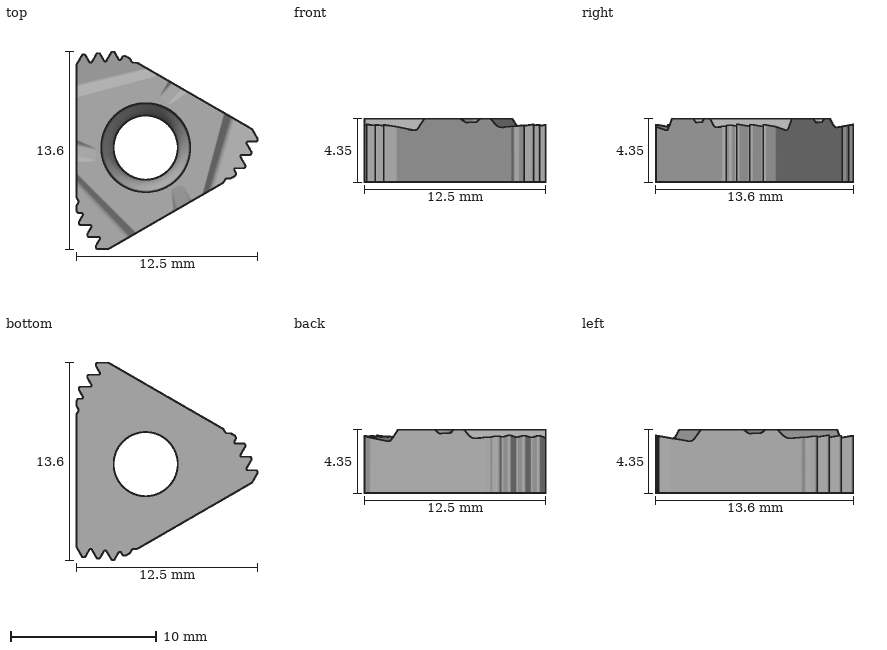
import cadquery as cq
import math


CORNERS = 3
CORNER_ANGLE = 360 / CORNERS
HEIGHT = 4.35
SIDE_DISTANCE = 4.76

FLANK_ANGLE = 60
TOOTH_COUNT = 3
TOOTH_PITCH = 1.0
TOOTH_STEP = 0.1
FIRST_APEX_X = -4.26
FIRST_APEX_Y = 6.57
CREST_CUT = 0.16
CREST_RADIUS = 0.12
ROOT_CUT = 0.088
ROOT_RADIUS = 0.07
START_RADIUS = 0.27
LAST_CREST_CUT = 0.08
LAST_CREST_RADIUS = 0.16
RELIEF_START_X = -1.09
RELIEF_FLOOR_Y = 5.84
RELIEF_RADIUS = 0.15

GROOVE_TURN = 15
GROOVE_DISTANCE = 4.61
GROOVE_WALL_ANGLE = 55
GROOVE_FLOOR_ANGLE = 10
GROOVE_TIP_DEPTH = 0.4
GROOVE_ROOT_RADIUS = 0.4
GROOVE_EDGE_RADIUS = 0.12

NOTCH_RUNOUT_X = -3.42
NOTCH_RUNOUT_Y = -0.53
NOTCH_TURN = 13
NOTCH_FLOOR_ANGLE = 10.4
NOTCH_FLOOR_WIDTH = 0.84
NOTCH_WALL_ANGLE = 40
NOTCH_ROOT_RADIUS = 0.3
NOTCH_EDGE_RADIUS = 0.15
NOTCH_EDGE_X = -4.2
NOTCH_EDGE_Y = 0.3
NOTCH_CUT_HEIGHT = 0.68
NOTCH_CUT_LENGTH = 1.9

MOUTH_RADIUS = 3.07
CONE_END_RADIUS = 2.97
CONE_DEPTH = 0.99
THROAT_RADIUS = 2.2
THROAT_DEPTH = 3.58
SEAT_ARC_RADIUS = 4.32
SEAT_TOP_DEPTH = 1.23

REACH = 13.57


def tangent(degrees):
    return math.tan(math.radians(degrees))


def turned(x, y, degrees):
    """Turn a point about the origin."""
    c = math.cos(math.radians(degrees))
    s = math.sin(math.radians(degrees))
    return x * c - y * s, x * s + y * c


def rounded_outline(plane, corners):
    """Closed outline through (x, y, radius) corners; radius 0 leaves a corner sharp."""
    points = []
    for i, (x, y, radius) in enumerate(corners):
        here = cq.Vector(x, y)
        to_last = (cq.Vector(*corners[i - 1][:2]) - here).normalized()
        to_next = (cq.Vector(*corners[(i + 1) % len(corners)][:2]) - here).normalized()
        half_angle = to_last.getAngle(to_next) / 2
        setback = radius / math.tan(half_angle)
        bisector = (to_last + to_next).normalized()
        middle = here + bisector * (radius / math.sin(half_angle) - radius)
        points.append((here + to_last * setback, middle, here + to_next * setback, radius))

    outline = cq.Workplane(plane).moveTo(*points[0][2].toTuple()[:2])
    for start, middle, end, radius in points[1:] + points[:1]:
        outline = outline.lineTo(*start.toTuple()[:2])
        if radius > 0:
            outline = outline.threePointArc(middle.toTuple()[:2], end.toTuple()[:2])
    return outline.close()


def side_y(x):
    """Y of the upper right flat side."""
    slope = tangent(CORNER_ANGLE - 90)
    return SIDE_DISTANCE * math.hypot(1, slope) - slope * x


def flat_corners(x, apex_y, flat_y, radius):
    """Both ends of the flat that cuts off the apex or root of two flanks."""
    half_width = abs(apex_y - flat_y) / tangent(FLANK_ANGLE)
    return [(x - half_width, flat_y, radius), (x + half_width, flat_y, radius)]


def tooth_corners():
    """Sharp corners of the +Y corner, from the -X side to the upper right side."""
    slope = tangent(FLANK_ANGLE)
    start_y = FIRST_APEX_Y - slope * (FIRST_APEX_X + SIDE_DISTANCE)
    corners = [(-SIDE_DISTANCE, start_y, START_RADIUS)]

    root_run = (TOOTH_PITCH - TOOTH_STEP / slope) / 2
    for i in range(TOOTH_COUNT):
        apex_x = FIRST_APEX_X + i * TOOTH_PITCH
        apex_y = FIRST_APEX_Y + i * TOOTH_STEP
        corners += flat_corners(apex_x, apex_y, apex_y - CREST_CUT, CREST_RADIUS)
        root_x = apex_x + root_run
        root_y = apex_y - slope * root_run
        corners += flat_corners(root_x, root_y, root_y + ROOT_CUT, ROOT_RADIUS)

    side_slope = tangent(CORNER_ANGLE - 90)
    crest_x = root_x + (side_y(root_x) - root_y) / (slope + side_slope)
    crest_y = side_y(crest_x) - LAST_CREST_CUT
    corners.append((crest_x - LAST_CREST_CUT / slope, crest_y, LAST_CREST_RADIUS))
    corners.append((crest_x + LAST_CREST_CUT / side_slope, crest_y, LAST_CREST_RADIUS))
    relief_y = side_y(RELIEF_START_X)
    corners.append((RELIEF_START_X, relief_y, RELIEF_RADIUS))
    relief_end_x = RELIEF_START_X + (relief_y - RELIEF_FLOOR_Y) / slope
    corners.append((relief_end_x, RELIEF_FLOOR_Y, RELIEF_RADIUS))
    exit_x = RELIEF_START_X + (relief_y - RELIEF_FLOOR_Y) / side_slope
    corners.append((exit_x, RELIEF_FLOOR_Y, RELIEF_RADIUS))
    return corners


def make_body():
    corners = []
    for i in range(CORNERS):
        for x, y, radius in tooth_corners():
            corners.append((*turned(x, y, -i * CORNER_ANGLE), radius))
    return rounded_outline(cq.Plane.XY(), corners).extrude(HEIGHT)


def make_groove():
    """Space above the tilted floor and outside the slanted wall, with a rounded root."""
    tip_y = FIRST_APEX_Y + (TOOTH_COUNT - 1) * TOOTH_STEP - CREST_CUT
    floor_slope = tangent(GROOVE_FLOOR_ANGLE)
    tip_z = HEIGHT - GROOVE_TIP_DEPTH
    above_floor = (
        cq.Workplane("YZ")
        .polyline([
            (0, tip_z - floor_slope * tip_y),
            (REACH, tip_z + floor_slope * (REACH - tip_y)),
            (REACH, REACH),
            (0, REACH),
        ])
        .close()
        .extrude(REACH, both=True)
    )
    wall_run = HEIGHT / tangent(GROOVE_WALL_ANGLE)
    rise = REACH - HEIGHT
    outside_wall = (
        cq.Workplane("YZ")
        .polyline([
            (GROOVE_DISTANCE + wall_run, 0),
            (GROOVE_DISTANCE - rise / tangent(GROOVE_WALL_ANGLE), REACH),
            (2 * REACH, REACH),
            (2 * REACH, 0),
        ])
        .close()
        .extrude(REACH, both=True)
        .rotate((0, 0, 0), (0, 0, 1), GROOVE_TURN)
    )
    groove = above_floor.intersect(outside_wall)
    root_point = (*turned(0, GROOVE_DISTANCE, GROOVE_TURN), HEIGHT - GROOVE_TIP_DEPTH)
    return groove.edges(cq.selectors.NearestToPointSelector(root_point)).fillet(GROOVE_ROOT_RADIUS)


def make_notch():
    """Trapezoid channel with rounded floor corners, swept outward and down from its run-out."""
    floor_half = NOTCH_FLOOR_WIDTH / 2
    top_half = floor_half + NOTCH_CUT_HEIGHT / tangent(NOTCH_WALL_ANGLE)
    outward = cq.Vector(*turned(-1, 0, -NOTCH_TURN), -tangent(NOTCH_FLOOR_ANGLE))
    across = cq.Vector(*turned(0, -1, -NOTCH_TURN))
    plane = cq.Plane((NOTCH_RUNOUT_X, NOTCH_RUNOUT_Y, HEIGHT), across, outward)
    return rounded_outline(plane, [
        (-floor_half, 0, NOTCH_ROOT_RADIUS),
        (floor_half, 0, NOTCH_ROOT_RADIUS),
        (top_half, NOTCH_CUT_HEIGHT, 0),
        (-top_half, NOTCH_CUT_HEIGHT, 0),
    ]).extrude(NOTCH_CUT_LENGTH)


def make_hole():
    """Half section in the XZ plane, revolved about Z."""
    seat_centre_x = THROAT_RADIUS + SEAT_ARC_RADIUS
    seat_angle = math.asin((THROAT_DEPTH - SEAT_TOP_DEPTH) / SEAT_ARC_RADIUS)

    def seat_point(angle):
        x = seat_centre_x - SEAT_ARC_RADIUS * math.cos(angle)
        return x, HEIGHT - THROAT_DEPTH + SEAT_ARC_RADIUS * math.sin(angle)

    return (
        cq.Workplane("XZ")
        .lineTo(THROAT_RADIUS, 0)
        .lineTo(THROAT_RADIUS, HEIGHT - THROAT_DEPTH)
        .threePointArc(seat_point(seat_angle / 2), seat_point(seat_angle))
        .tangentArcPoint((CONE_END_RADIUS, HEIGHT - CONE_DEPTH), relative=False)
        .lineTo(MOUTH_RADIUS, HEIGHT)
        .lineTo(0, HEIGHT)
        .close()
        .revolve(360, (0, 0, 0), (0, 1, 0))
    )


def cut_around(body, cutter):
    """Cut the same shape at every corner."""
    for i in range(CORNERS):
        body = body.cut(cutter.rotate((0, 0, 0), (0, 0, 1), i * CORNER_ANGLE))
    return body


def round_top_edges(body, x, y, radius):
    """Round the top edge nearest to (x, y), with its smooth run-on, at every corner."""
    for i in range(CORNERS):
        point = (*turned(x, y, i * CORNER_ANGLE), HEIGHT)
        nearest = cq.selectors.NearestToPointSelector(point)
        body = body.faces(">Z").edges(nearest).fillet(radius)
    return body


result = cut_around(make_body(), make_groove())
result = round_top_edges(result, *turned(0, GROOVE_DISTANCE, GROOVE_TURN), GROOVE_EDGE_RADIUS)
result = cut_around(result, make_notch())
result = round_top_edges(result, NOTCH_EDGE_X, NOTCH_EDGE_Y, NOTCH_EDGE_RADIUS)
result = result.cut(make_hole())